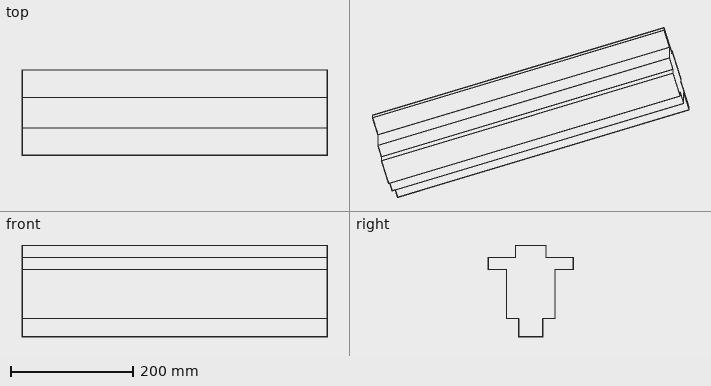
import cadquery as cq

length = 500.0

foot_width = 40.0
foot_height = 30.0
body_width = 80.0
body_height = 80.0
flange_width = 140.0
flange_height = 20.0
rib_width = 50.0
rib_height = 20.0

steps = [
    (foot_width, foot_height),
    (body_width, body_height),
    (flange_width, flange_height),
    (rib_width, rib_height),
]
total_height = sum(height for _, height in steps)


def stepped_outline():
    """Right-hand side of the section going up, then its mirror going down."""
    right_side = []
    z = -total_height / 2
    for width, height in steps:
        right_side.append((width / 2, z))
        z += height
        right_side.append((width / 2, z))
    left_side = [(-y, z) for y, z in reversed(right_side)]
    return right_side + left_side


result = (
    cq.Workplane("YZ")
    .polyline(stepped_outline())
    .close()
    .extrude(length / 2, both=True)
)